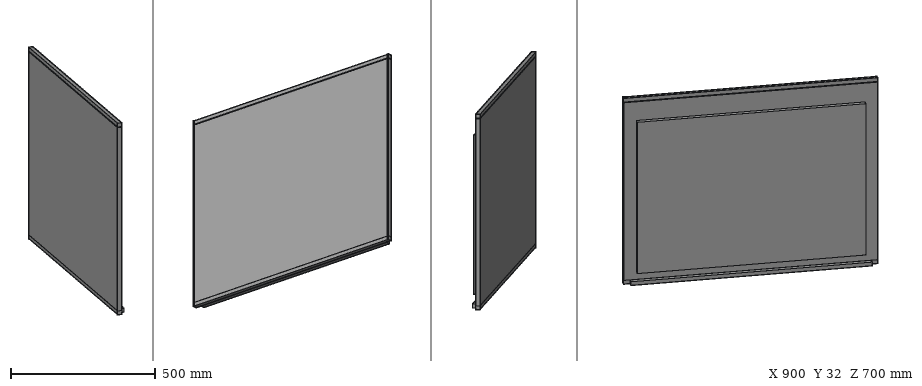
import cadquery as cq

WIDTH = 900.0
HEIGHT = 700.0
FRAME_DEPTH = 16.0
TOTAL_DEPTH = 32.0
REAR_DEPTH = TOTAL_DEPTH - FRAME_DEPTH

SHEET = 1.0
LIP_WIDTH = 5.0
MOUTH_WIDTH = WIDTH - 2 * LIP_WIDTH
INNER_WIDTH = WIDTH - 2 * SHEET
INNER_DEPTH = FRAME_DEPTH - 2 * SHEET

RAIL_EDGE = 14.0
RAIL_INSET = 1.0
RAIL_HEIGHT = RAIL_EDGE - RAIL_INSET

TOP_GAP = 3.0
FACE_PANEL_HEIGHT = HEIGHT - 2 * RAIL_EDGE - TOP_GAP

REAR_PANEL_WIDTH = 810.0
REAR_PANEL_BOTTOM = 43.0
REAR_PANEL_HEIGHT = 570.0
REAR_BAR_WIDTH = 855.0
REAR_BAR_HEIGHT = 14.0


def block(width, depth, height, front, bottom):
    """Box centred in X, extending back from 'front' and up from 'bottom'."""
    return cq.Workplane("XY").box(width, depth, height, centered=(True, False, False)).translate(
        (0, front, bottom)
    )


def make_frame():
    outside = block(WIDTH, FRAME_DEPTH, HEIGHT, 0, 0)
    cavity = block(INNER_WIDTH, INNER_DEPTH, HEIGHT, SHEET, 0)
    mouth = block(MOUTH_WIDTH, SHEET, HEIGHT, 0, 0)
    frame = outside.cut(cavity).cut(mouth)
    for rail_bottom in (RAIL_INSET, HEIGHT - RAIL_EDGE):
        frame = frame.union(block(INNER_WIDTH, INNER_DEPTH, RAIL_HEIGHT, SHEET, rail_bottom))
    return frame


def make_face_panel():
    return block(INNER_WIDTH, INNER_DEPTH, FACE_PANEL_HEIGHT, SHEET, RAIL_EDGE)


def make_rear_panel():
    return block(REAR_PANEL_WIDTH, REAR_DEPTH, REAR_PANEL_HEIGHT, FRAME_DEPTH, REAR_PANEL_BOTTOM)


def make_rear_bar():
    return block(REAR_BAR_WIDTH, REAR_DEPTH, REAR_BAR_HEIGHT, FRAME_DEPTH, 0)


frame = make_frame()
face_panel = make_face_panel()
rear_panel = make_rear_panel()
rear_bar = make_rear_bar()

result = cq.Compound.makeCompound([frame.val(), face_panel.val(), rear_panel.val(), rear_bar.val()])